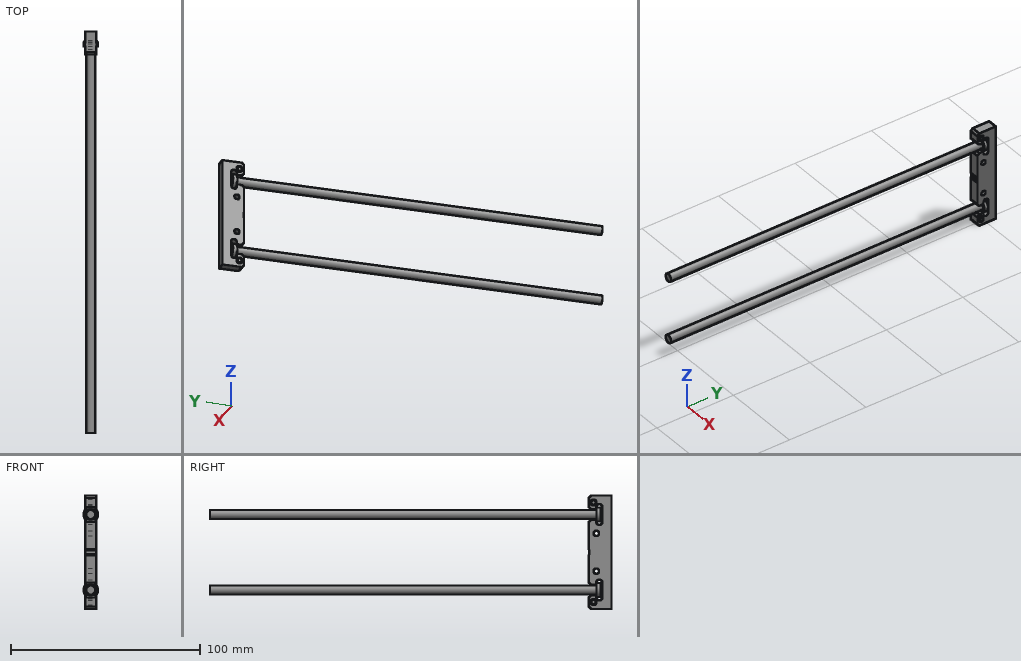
import cadquery as cq

total_length = 212.0
plate_height = 60.0
plate_depth = 12.0
plate_thickness = 6.0
plate_chamfer = 1.3

rod_offset = 20.0
rod_diameter = 4.9
head_diameter = 7.6
head_length = 3.0
head_chamfer = 0.6

seat_front = 4.0
seat_clearance = 0.2
seat_height = 10.8
seat_width = head_length + seat_clearance
channel_width = 5.5
channel_chamfer = 1.3

hole_offset = 10.0
hole_diameter = 2.8
hole_depth_from_front = 4.0

pin_offset = 26.3
pin_diameter = 3.2
pin_chamfer = 0.5
pin_depth_from_front = 2.5

groove_width = 3.2
groove_floor_width = 2.0
groove_depth = 0.2

SIDES = (-1, 1)


def cylinder_across(diameter, y, z):
    """Cylinder along X, as long as the plate is thick."""
    section = cq.Workplane("YZ").center(y, z).circle(diameter / 2)
    return section.extrude(plate_thickness / 2, both=True)


def front_notch(mouth_width, floor_width, taper_depth, depth, z):
    """Cutter for a notch in the front face, tapering inward, then straight-sided down to its floor."""
    mouth = mouth_width / 2
    floor = floor_width / 2
    lower_side = [(0, -mouth), (taper_depth, -floor)]
    upper_side = [(taper_depth, floor), (0, mouth)]
    if depth > taper_depth:
        lower_side.append((depth, -floor))
        upper_side.insert(0, (depth, floor))
    return (
        cq.Workplane("YZ")
        .center(0, z)
        .polyline(lower_side + upper_side)
        .close()
        .extrude(plate_thickness / 2, both=True)
    )


def head_slot(z):
    """Cutter for the round-ended slot that takes a rod head."""
    return (
        cq.Workplane("YZ")
        .center(seat_front + seat_width / 2, z)
        .slot2D(seat_height, seat_width, 90)
        .extrude(plate_thickness / 2, both=True)
    )


def make_plate():
    plate = (
        cq.Workplane("XY")
        .box(plate_thickness, plate_depth, plate_height)
        .translate((0, plate_depth / 2, 0))
        .faces("<Y")
        .edges("|X")
        .chamfer(plate_chamfer)
    )
    channel_mouth = channel_width + 2 * channel_chamfer
    channel_depth = seat_front + seat_width / 2
    for side in SIDES:
        rod_z = side * rod_offset
        plate = plate.cut(front_notch(channel_mouth, channel_width, channel_chamfer, channel_depth, rod_z))
        plate = plate.cut(head_slot(rod_z))
        plate = plate.cut(cylinder_across(hole_diameter, hole_depth_from_front, side * hole_offset))
        plate = plate.cut(cylinder_across(pin_diameter, pin_depth_from_front, side * pin_offset))
    return plate.cut(front_notch(groove_width, groove_floor_width, groove_depth, groove_depth, 0))


def make_rod(side):
    """Rod with a disc head, chamfered around its back face."""
    head_back = seat_front + head_length
    tip = plate_depth - total_length
    z = side * rod_offset
    head = (
        cq.Workplane("XZ", origin=(0, head_back, z))
        .circle(head_diameter / 2)
        .extrude(head_length)
        .faces(">Y")
        .chamfer(head_chamfer)
    )
    shank = (
        cq.Workplane("XZ", origin=(0, seat_front, z))
        .circle(rod_diameter / 2)
        .extrude(seat_front - tip)
    )
    return head.union(shank)


def make_pin(side):
    """Cross pin with chamfered ends, flush with both sides of the plate."""
    pin = cylinder_across(pin_diameter, pin_depth_from_front, side * pin_offset)
    return pin.faces("<X or >X").chamfer(pin_chamfer)


plate = make_plate()
rods = [make_rod(side) for side in SIDES]
pins = [make_pin(side) for side in SIDES]

result = cq.Compound.makeCompound([
    plate.val(),
    *[rod.val() for rod in rods],
    *[pin.val() for pin in pins],
])